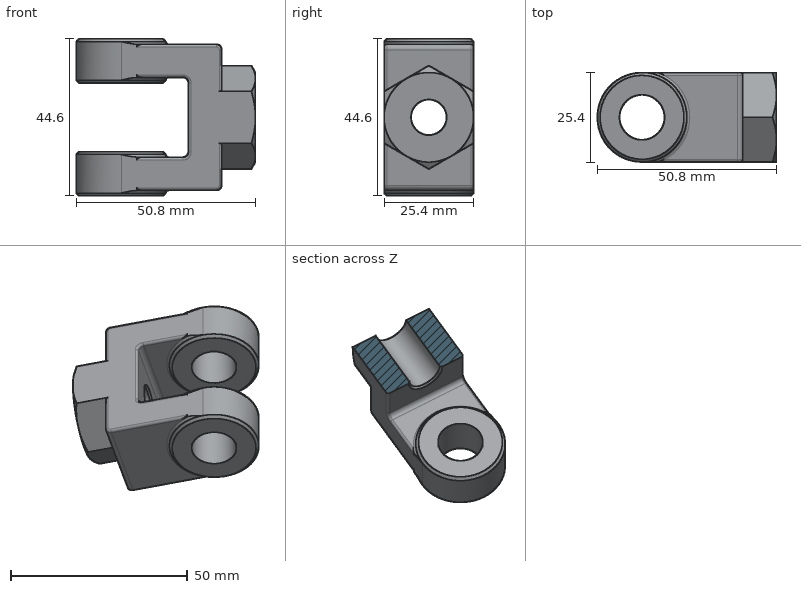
import cadquery as cq
import math

length = 50.8
width = 25.4
height = 44.6
half_width = width / 2
pin_x = half_width
pin_hole_diameter = 12.7

eye_thickness = 12.6
eye_step = 1.6
eye_chamfer = 0.8
eye_middle_z = (height - eye_thickness) / 2

body_end_x = 41.25
slot_floor_x = 31.75
corner_radius = 1.5
edge_radius = 0.75
arm_outer_z = height / 2 - eye_step
arm_inner_z = height / 2 - eye_thickness + eye_step

hex_start_x = 35.55
hex_chamfer_angle = 30.0
shank_hole_diameter = 10.0
shank_hole_chamfer = 0.55


def make_fork():
    """C-shaped fork with rounded corners and softened side edges."""
    fork = (
        cq.Workplane("XZ")
        .moveTo(pin_x, arm_outer_z)
        .lineTo(body_end_x, arm_outer_z)
        .lineTo(body_end_x, -arm_outer_z)
        .lineTo(pin_x, -arm_outer_z)
        .lineTo(pin_x, -arm_inner_z)
        .lineTo(slot_floor_x, -arm_inner_z)
        .lineTo(slot_floor_x, arm_inner_z)
        .lineTo(pin_x, arm_inner_z)
        .close()
        .extrude(half_width, both=True)
    )
    arm_tips = cq.selectors.BoxSelector(
        (pin_x - 0.5, -width, -height), (pin_x + 0.5, width, height)
    )
    corners = cq.selectors.StringSyntaxSelector("|Y") - arm_tips
    fork = fork.edges(corners).fillet(corner_radius)
    side_edges = cq.selectors.StringSyntaxSelector("<Y or >Y") - arm_tips
    return fork.edges(side_edges).fillet(edge_radius)


def make_eye(middle_z):
    """Round eye with chamfered faces and a concave blend down to the arm on each face."""
    half_thickness = eye_thickness / 2
    face_radius = half_width - eye_chamfer
    chamfer_z = half_thickness - eye_chamfer
    arm_face_z = half_thickness - eye_step
    blend_radius = chamfer_z - arm_face_z
    foot_radius = half_width + blend_radius
    blend_mid_offset = blend_radius * (1 - math.sqrt(0.5))
    blend_mid_radius = half_width + blend_mid_offset
    blend_mid_z = arm_face_z + blend_mid_offset
    blended_disc = (
        cq.Workplane("XZ")
        .moveTo(0, -half_thickness)
        .lineTo(face_radius, -half_thickness)
        .lineTo(half_width, -chamfer_z)
        .threePointArc((blend_mid_radius, -blend_mid_z), (foot_radius, -arm_face_z))
        .lineTo(foot_radius, arm_face_z)
        .threePointArc((blend_mid_radius, blend_mid_z), (half_width, chamfer_z))
        .lineTo(face_radius, half_thickness)
        .lineTo(0, half_thickness)
        .close()
        .revolve(360, (0, 0, 0), (0, 1, 0))
    )
    round_end = cq.Workplane("XY").circle(half_width).extrude(half_thickness, both=True)
    straight = cq.Workplane("XY").box(width, width, eye_thickness).translate((half_width, 0, 0))
    return blended_disc.intersect(round_end.union(straight)).translate((pin_x, 0, middle_z))


def make_shank():
    """Hexagon with flats facing +Y and -Y and a turned end chamfer."""
    corner_reach = half_width / math.cos(math.radians(30))
    shank = (
        cq.Workplane("YZ", origin=(hex_start_x, 0, 0))
        .transformed(rotate=(0, 0, 90))
        .polygon(6, 2 * corner_reach)
        .extrude(length - hex_start_x)
    )
    cone_depth = (corner_reach - half_width) * math.tan(math.radians(hex_chamfer_angle))
    turned_envelope = (
        cq.Workplane("XY")
        .polyline([
            (hex_start_x, 0),
            (hex_start_x, corner_reach),
            (length - cone_depth, corner_reach),
            (length, half_width),
            (length, 0),
        ])
        .close()
        .revolve(360, (0, 0, 0), (1, 0, 0))
    )
    return shank.intersect(turned_envelope)


def make_shank_hole():
    """Axial hole through the shank, countersunk at the slot floor."""
    hole_radius = shank_hole_diameter / 2
    return (
        cq.Workplane("XY")
        .polyline([
            (slot_floor_x, 0),
            (slot_floor_x, hole_radius + shank_hole_chamfer),
            (slot_floor_x + shank_hole_chamfer, hole_radius),
            (length, hole_radius),
            (length, 0),
        ])
        .close()
        .revolve(360, (0, 0, 0), (1, 0, 0))
    )


result = make_fork().union(make_shank())
for eye_z in (-eye_middle_z, eye_middle_z):
    result = result.union(make_eye(eye_z))
pin_hole = cq.Workplane("XY").center(pin_x, 0).circle(pin_hole_diameter / 2).extrude(height, both=True)
result = result.cut(pin_hole).cut(make_shank_hole())